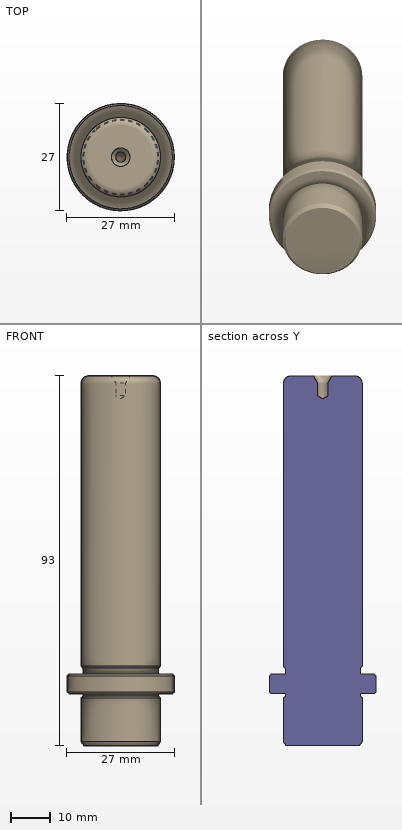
import cadquery as cq
import math

length = 93.0
shaft_radius = 20.0 / 2
flange_radius = 27.0 / 2

flange_bottom = 13.0
flange_top = 18.0
spigot_top = 12.0
shaft_bottom = 20.0

small_chamfer = 0.5
groove_depth = 0.5
groove_radius = shaft_radius - groove_depth
lead_in_height = 1.0
lead_in_width = 0.7
top_fillet = 2.0

countersink_radius = 2.3
pilot_radius = 2.5 / 2
pilot_depth = 5.0
countersink_half_angle = math.radians(30)
tip_half_angle = math.radians(59)


def make_body():
    """Revolve the stepped pin, from the bottom face up to the rounded top."""
    fillet_mid = top_fillet * math.sqrt(0.5)
    fillet_centre_r = shaft_radius - top_fillet
    fillet_centre_z = length - top_fillet
    return (
        cq.Workplane("XZ")
        .moveTo(0, 0)
        .lineTo(shaft_radius - lead_in_width, 0)
        .lineTo(shaft_radius, lead_in_height)
        .lineTo(shaft_radius, spigot_top)
        .lineTo(groove_radius, spigot_top + groove_depth)
        .lineTo(groove_radius, flange_bottom)
        .lineTo(flange_radius - small_chamfer, flange_bottom)
        .lineTo(flange_radius, flange_bottom + small_chamfer)
        .lineTo(flange_radius, flange_top - small_chamfer)
        .lineTo(flange_radius - small_chamfer, flange_top)
        .lineTo(groove_radius, flange_top)
        .lineTo(groove_radius, shaft_bottom - groove_depth)
        .lineTo(shaft_radius, shaft_bottom)
        .lineTo(shaft_radius, fillet_centre_z)
        .threePointArc(
            (fillet_centre_r + fillet_mid, fillet_centre_z + fillet_mid),
            (fillet_centre_r, length),
        )
        .lineTo(0, length)
        .close()
        .revolve(360, (0, 0), (0, 1))
    )


def make_centre_hole():
    """Countersunk pilot hole with a conical drill tip."""
    countersink_depth = (countersink_radius - pilot_radius) / math.tan(countersink_half_angle)
    tip_depth = pilot_radius / math.tan(tip_half_angle)
    return (
        cq.Workplane("XZ")
        .moveTo(0, length)
        .lineTo(countersink_radius, length)
        .lineTo(pilot_radius, length - countersink_depth)
        .lineTo(pilot_radius, length - pilot_depth)
        .lineTo(0, length - pilot_depth - tip_depth)
        .close()
        .revolve(360, (0, 0), (0, 1))
    )


result = make_body().cut(make_centre_hole())